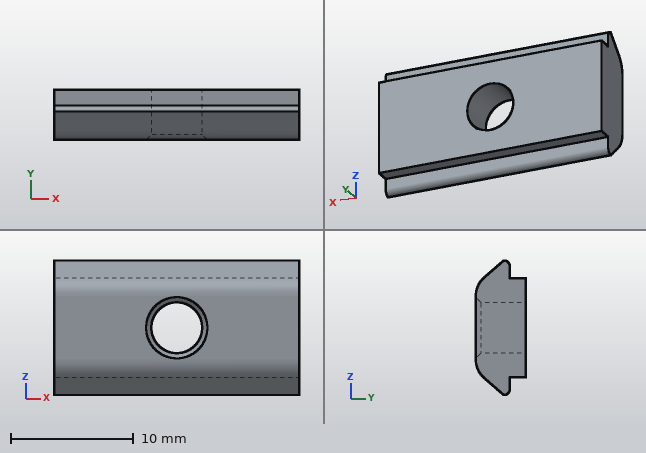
import cadquery as cq
import math

length = 20.0
thickness = 4.1
height = 11.0
neck_height = 8.1
neck_depth = 1.3
wing_tip_radius = 0.5
flank_angle = 49.0
front_corner_radius = 2.0
hole_diameter = 4.134
countersink_diameter = 5.0

half_height = height / 2
half_neck = neck_height / 2
wing_back_y = thickness - neck_depth
tip_y = wing_back_y - wing_tip_radius
front_corner_z = half_height - tip_y / math.tan(math.radians(flank_angle))
countersink_depth = (countersink_diameter - hole_diameter) / 2


def make_body():
    """Slot-nut section in the YZ plane, extruded along X."""
    arc_mid = wing_tip_radius * math.sin(math.radians(45))
    arc_center_z = half_height - wing_tip_radius
    section = (
        cq.Workplane("YZ")
        .moveTo(0, -front_corner_z)
        .lineTo(0, front_corner_z)
        .lineTo(tip_y, half_height)
        .threePointArc((tip_y + arc_mid, arc_center_z + arc_mid), (wing_back_y, arc_center_z))
        .lineTo(wing_back_y, half_neck)
        .lineTo(thickness, half_neck)
        .lineTo(thickness, -half_neck)
        .lineTo(wing_back_y, -half_neck)
        .lineTo(wing_back_y, -arc_center_z)
        .threePointArc((tip_y + arc_mid, -arc_center_z - arc_mid), (tip_y, -half_height))
        .close()
    )
    body = section.extrude(length / 2, both=True)
    return body.faces("<Y").edges("|X").fillet(front_corner_radius)


def make_hole_cutter():
    """Through hole along Y with a conical countersink at the front face."""
    hole_radius = hole_diameter / 2
    return (
        cq.Workplane("XY")
        .lineTo(countersink_diameter / 2, 0)
        .lineTo(hole_radius, countersink_depth)
        .lineTo(hole_radius, thickness)
        .lineTo(0, thickness)
        .close()
        .revolve(360, (0, 0, 0), (0, 1, 0))
    )


result = make_body().cut(make_hole_cutter())